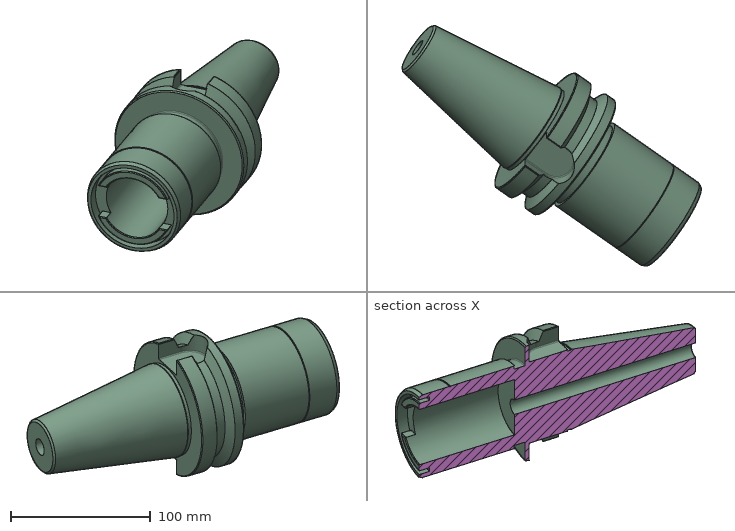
import cadquery as cq


total_length = 226.8
gauge_y = 125.0
gauge_radius = 35.0
taper_slope = 7 / 48
tail_chamfer = 1.4
shank_collar_radius = 34.5
shank_bevel = 0.7

flange_diameter = 100.0
flange_radius = flange_diameter / 2
flange_front_y = 86.9
flange_rear_y = 121.8
flange_chamfer = 1.0
flange_rear_chamfer = 0.7
groove_root_radius = 42.2
groove_front_y = 98.5
groove_rear_y = 105.5
groove_flank_length = 3.9

slot_width = 25.6
slot_floor_z = 35.4
slot_end_y = 90.5
slot_chamfer = 0.7
slot_floor_fillet = 0.7

neck_radius = 33.3
neck_fillet = 0.7
sleeve_radius = 36.0
sleeve_length = 78.2
sleeve_chamfer_length = 3.0
sleeve_chamfer_height = 1.4
seam_y = 25.5
seam_width = 0.5
seam_depth = 0.5

bore_radius = 23.8
bore_depth = sleeve_length
through_radius = 6.1
recess_radius = 32.2
recess_depth = 8.6
ring_outer_radius = 29.5
ring_edge_chamfer = 0.7
notch_width = 25.0


def cylinder(radius, start_y, end_y):
    """Solid cylinder on the tool axis between two Y positions."""
    return cq.Workplane("XZ", origin=(0, start_y, 0)).circle(radius).extrude(start_y - end_y)


def revolved_body():
    """Outer shape of the holder, turned about the Y axis."""
    tail_radius = gauge_radius - taper_slope * (total_length - gauge_y)
    tail_edge_radius = tail_radius + taper_slope * tail_chamfer
    nose_outline = [
        (0, 0),
        (sleeve_radius - sleeve_chamfer_height, 0),
        (sleeve_radius, sleeve_chamfer_length),
        (sleeve_radius, sleeve_length),
        (neck_radius, sleeve_length),
    ]
    flange_and_shank_outline = [
        (flange_radius - flange_chamfer, flange_front_y),
        (flange_radius, flange_front_y + flange_chamfer),
        (flange_radius, groove_front_y - groove_flank_length),
        (groove_root_radius, groove_front_y),
        (groove_root_radius, groove_rear_y),
        (flange_radius, groove_rear_y + groove_flank_length),
        (flange_radius, flange_rear_y - flange_rear_chamfer),
        (flange_radius - flange_rear_chamfer, flange_rear_y),
        (shank_collar_radius, flange_rear_y),
        (shank_collar_radius, gauge_y - shank_bevel),
        (gauge_radius, gauge_y),
        (tail_edge_radius, total_length - tail_chamfer),
        (tail_radius - tail_chamfer, total_length),
        (0, total_length),
    ]
    arc_sag = neck_fillet * (1 - 0.5 ** 0.5)
    return (
        cq.Workplane("XY")
        .polyline(nose_outline)
        .lineTo(neck_radius, flange_front_y - neck_fillet)
        .threePointArc(
            (neck_radius + arc_sag, flange_front_y - arc_sag),
            (neck_radius + neck_fillet, flange_front_y),
        )
        .polyline(flange_and_shank_outline, includeCurrent=True)
        .close()
        .revolve(360, (0, 0, 0), (0, 1, 0))
    )


def seam_groove():
    """Fine groove around the sleeve."""
    front_y = seam_y - seam_width / 2
    rear_y = seam_y + seam_width / 2
    outside = cylinder(flange_radius, front_y, rear_y)
    return outside.cut(cylinder(sleeve_radius - seam_depth, front_y, rear_y))


def key_slot():
    """Upper key slot: flat floor, rounded front end, open towards the taper."""
    half_width = slot_width / 2
    end_center_y = slot_end_y + half_width
    return (
        cq.Workplane("XY", origin=(0, 0, slot_floor_z))
        .moveTo(-half_width, flange_rear_y)
        .lineTo(-half_width, end_center_y)
        .threePointArc((0, slot_end_y), (half_width, end_center_y))
        .lineTo(half_width, flange_rear_y)
        .close()
        .extrude(flange_radius)
        .faces("<Z")
        .edges("not >Y")
        .fillet(slot_floor_fillet)
    )


def rim_slot_edges(holder):
    """Straight edges where the key slots break through the rear flange rim."""
    rim_start_y = groove_rear_y + groove_flank_length
    return holder.edges("|Y").filter(
        lambda edge: rim_start_y < edge.Center().y < flange_rear_y
        and abs(edge.Center().z) > groove_root_radius
    )


def nose_recess():
    """Annular recess in the nose, with notches through the central ring on both X sides."""
    recess = cylinder(recess_radius, 0, recess_depth)
    notch = cq.Workplane("XY").box(2 * recess_radius, 2 * recess_depth, notch_width)
    ring = (
        cylinder(ring_outer_radius, 0, recess_depth)
        .cut(cylinder(bore_radius, 0, recess_depth))
        .cut(notch)
        .faces("<Y")
        .chamfer(ring_edge_chamfer)
    )
    return recess.cut(ring)


body = revolved_body().cut(seam_groove())
for turn in (0, 180):
    body = body.cut(key_slot().rotate((0, 0, 0), (0, 1, 0), turn))
body = rim_slot_edges(body).chamfer(slot_chamfer)
body = body.cut(nose_recess())
body = body.cut(cylinder(bore_radius, 0, bore_depth))
result = body.cut(cylinder(through_radius, 0, total_length))